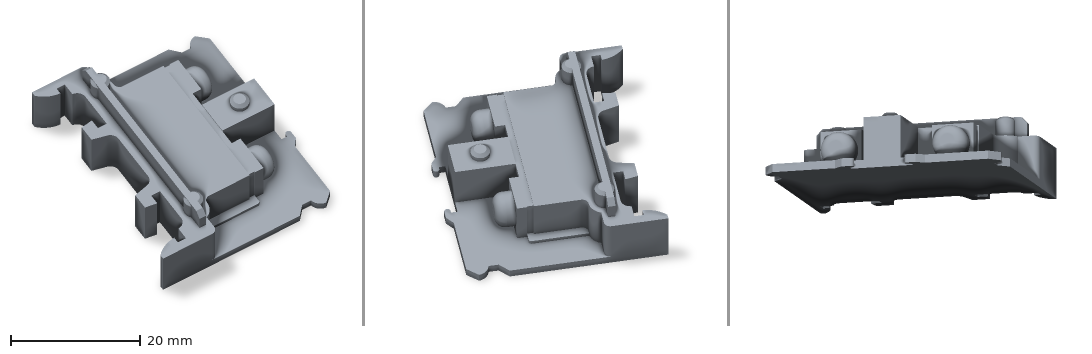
import cadquery as cq
import math

plate_top = 1.3
ledge_top = 1.85
terminal_top = 7.85
body_top = 8.0
bar_top = 11.3
center_pin_top = 9.3

half_width = 19.0
top_edge_y = 31.5
hook_top_y = 32.5
hook_inner_x = 4.98
hook_tip_x = 4.6
hook_flat_end_x = 5.95
hook_ramp_end_x = 7.25
gap_floor_y = 30.48
ear_root_x = 17.4
ear_point_y = 29.8
ear_root_y = 28.0
ear_bulge = (18.5, 28.65)
notch_bottom_y = 26.4
notch_ramp_end_y = 24.95

toe_inner_x = 18.2
toe_bulge = (16.95, 1.75)
claw_x = 16.5
claw_y = 3.6
slot_x = 17.55
slot_top_y = 5.1
underside_y = 6.55
slot_round_end_x = 15.35
slot_round_start_x = 13.85
leg_outer_x = 7.7
leg_lip_x = 9.45
leg_lip_y = 4.95
leg_tip_outer_x = 9.15
leg_tip_inner_x = 6.35
leg_tip_y = 2.9
leg_root_x = 5.45
leg_round = 1.5

housing_x = 12.5
housing_top_y = 19.9
shoulder_y = 9.95
shoulder_round = 1.0
housing_round = 1.0
bump_radius = 2.5

strip_x = 12.2
strip_top_y = 20.95
ledge_x = 13.95
ledge_round = 0.4
terminal_width = 6.7
terminal_x = 9.0
terminal_top_y = 22.55
screw_radius = 2.77
screw_length = 3.05
screw_round = 1.6
block_x = 2.95

pin_radius = 1.52
pin_chamfer = 0.55
bar_half_length = 17.0
bar_front_y = 7.95
bar_back_y = 9.12
bar_chamfer = 1.0
center_pin_y = 25.95
pin_x = housing_x + housing_round
pin_y = 9.0


def box(x0, x1, y0, y1, z0, z1):
    """Box between two opposite corners."""
    return cq.Workplane("XY").box(x1 - x0, y1 - y0, z1 - z0, centered=False).translate((x0, y0, z0))


def pin(x, y, z_top):
    """Round pin standing on the plate, bevelled at its top rim."""
    cylinder = cq.Workplane("XY").circle(pin_radius).extrude(z_top - plate_top)
    return cylinder.faces(">Z").chamfer(pin_chamfer).translate((x, y, plate_top))


def lower_edge():
    """Half outline from X = 0 along the underside and foot to the outer toe corner."""
    rise = underside_y - leg_tip_y
    run = leg_tip_inner_x - leg_root_x
    slant = math.hypot(rise, run)
    corner_angle = math.pi / 2 + math.atan2(run, rise)
    tangent = leg_round / math.tan(corner_angle / 2)
    leg_round_end = (leg_root_x + tangent * run / slant, underside_y - tangent * rise / slant)
    return (
        cq.Workplane("XY")
        .moveTo(0, underside_y)
        .lineTo(leg_root_x - tangent, underside_y)
        .tangentArcPoint(leg_round_end, relative=False)
        .lineTo(leg_tip_inner_x, leg_tip_y)
        .lineTo(leg_tip_outer_x, leg_tip_y)
        .lineTo(leg_lip_x, leg_lip_y)
        .lineTo(leg_outer_x, leg_lip_y)
        .lineTo(leg_outer_x, underside_y)
        .lineTo(slot_round_start_x, underside_y)
        .tangentArcPoint((slot_round_end_x, slot_top_y), relative=False)
        .lineTo(slot_x, slot_top_y)
        .lineTo(slot_x, claw_y)
        .lineTo(claw_x, claw_y)
        .threePointArc(toe_bulge, (toe_inner_x, 0))
        .lineTo(half_width, 0)
    )


def half_plate():
    """Thin base plate with the corner ears and the two hooks."""
    hook_radius = (hook_top_y - top_edge_y) / 2
    return (
        lower_edge()
        .lineTo(half_width, notch_ramp_end_y)
        .lineTo(ear_root_x, notch_bottom_y)
        .lineTo(ear_root_x, ear_root_y)
        .threePointArc(ear_bulge, (half_width, ear_point_y))
        .lineTo(ear_root_x, top_edge_y)
        .lineTo(hook_ramp_end_x, top_edge_y)
        .lineTo(hook_flat_end_x, hook_top_y)
        .lineTo(hook_tip_x, hook_top_y)
        .threePointArc((hook_tip_x - hook_radius, top_edge_y + hook_radius), (hook_tip_x, top_edge_y))
        .lineTo(hook_inner_x, top_edge_y)
        .lineTo(hook_inner_x, gap_floor_y)
        .lineTo(0, gap_floor_y)
        .close()
        .extrude(plate_top)
    )


def half_housing():
    """Full-height foot and housing, with a round bump about each bar pin."""
    bump_end_x = pin_x + math.sqrt(bump_radius**2 - (shoulder_y - pin_y) ** 2)
    bump_top_y = pin_y + bump_radius
    return (
        lower_edge()
        .lineTo(half_width, shoulder_y - shoulder_round)
        .radiusArc((half_width - shoulder_round, shoulder_y), -shoulder_round)
        .lineTo(bump_end_x, shoulder_y)
        .radiusArc((pin_x, bump_top_y), -bump_radius)
        .radiusArc((housing_x, bump_top_y + housing_round), housing_round)
        .lineTo(housing_x, housing_top_y)
        .lineTo(0, housing_top_y)
        .close()
        .extrude(body_top)
    )


def half_ledge():
    """Low step around the housing, rounded at its outer back corner."""
    step = box(0, ledge_x, shoulder_y, strip_top_y, 0, ledge_top)
    return step.edges("|Z and >X and >Y").fillet(ledge_round)


def terminal():
    """Terminal block with a round-headed screw pointing along +Y."""
    half = terminal_width / 2
    block = box(terminal_x - half, terminal_x + half, housing_top_y, terminal_top_y, 0, terminal_top)
    corner_relief = box(strip_x, housing_x, housing_top_y, strip_top_y, plate_top, terminal_top)
    head = cq.Workplane("XZ").circle(screw_radius).extrude(-screw_length)
    head = head.faces(">Y").edges().fillet(screw_round)
    head = head.translate((terminal_x, terminal_top_y, (plate_top + terminal_top) / 2))
    return block.cut(corner_relief).union(head)


def marker_bar():
    """Upright bar along X with bevelled upper corners."""
    bar = box(-bar_half_length, bar_half_length, bar_front_y, bar_back_y, plate_top, bar_top)
    return bar.edges("|Y and >Z").chamfer(bar_chamfer)


half = (
    half_plate()
    .union(half_housing())
    .union(half_ledge())
    .union(box(0, strip_x, housing_top_y, strip_top_y, 0, terminal_top))
    .union(terminal())
    .union(pin(pin_x, pin_y, bar_top))
    .union(box(0, block_x, strip_top_y, gap_floor_y, 0, body_top))
)

result = (
    half.union(half.mirror("YZ"))
    .union(marker_bar())
    .union(pin(0, center_pin_y, center_pin_top))
    .clean()
)